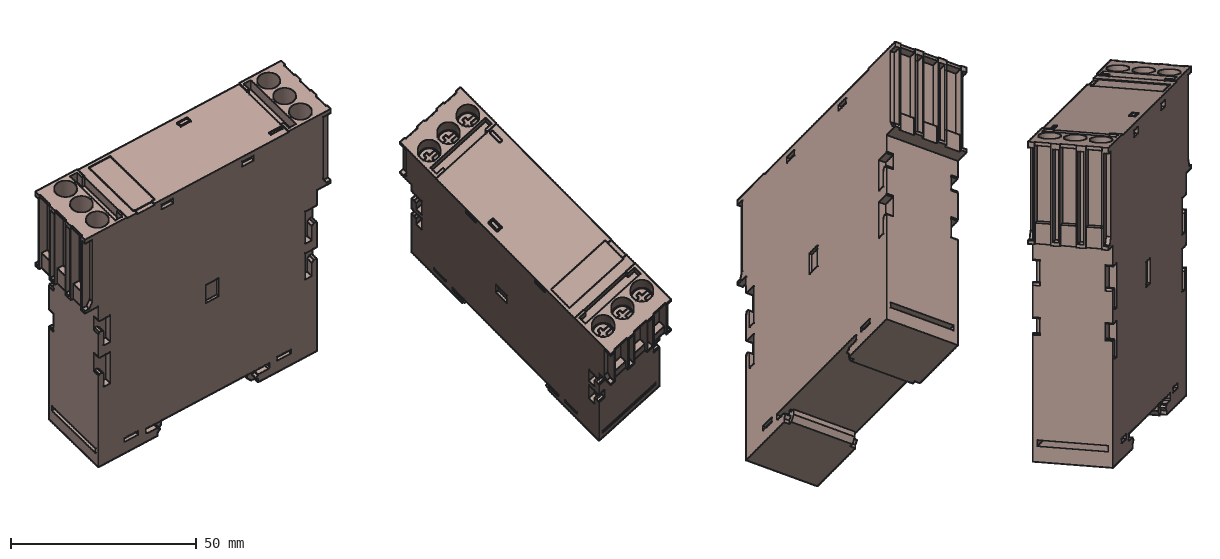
import cadquery as cq
import math

WIDTH = 22.5
LENGTH = 82.45
HEIGHT = 91.0
HALF_WIDTH = WIDTH / 2
HALF_LENGTH = LENGTH / 2
ENDS = (1, -1)
SIDES = (1, -1)

BODY_HALF_LENGTH = 36.7
TERMINAL_BOTTOM = 62.3
COVER_HALF_LENGTH = 27.1
COVER_DROP = 0.4
COVER_TOP = HEIGHT - COVER_DROP

PITCH = 7.2
POLES = (-PITCH, 0, PITCH)

CHANNEL_WIDTH = 4.55
CHANNEL_TOP = 90.0
CHANNEL_BACK = 38.5
RIM_SETBACK = 0.4
PLUG_TOP = 68.2
PLUG_FACE = 40.4

GROOVE_TOP = 89.4
GROOVE_BOTTOM = 63.3
GROOVE_BACK = 38.7
LIP = 0.4
RIB_GROOVE_INNER = CHANNEL_WIDTH / 2 + LIP
RIB_GROOVE_OUTER = 4.4
CORNER_GROOVE_WIDTH = 1.3
CORNER_BEVEL_RUN = 1.1
CORNER_BEVEL_RISE = 2.1

SCREW_Y = 34.0
SCREW_HOLE_DIAMETER = 6.2
SCREW_HOLE_DEPTH = 7.3
SCREW_DIAMETER = 5.6
DOME_HEIGHT = 0.9
CROSS_SLOT_WIDTH = 1.1
CROSS_SLOT_LENGTH = 3.2
CROSS_SLOT_DEPTH = 0.8

TOOL_SLOT_WIDTH = 20.5
TOOL_SLOT_OUTER = 30.3
TOOL_SLOT_INNER = 27.9
TOOL_SLOT_NECK_WIDTH = 15.65
TOOL_SLOT_DEPTH = 3.6

LABEL_X = (-10.2, 9.9)
LABEL_Y = (-24.0, -16.8)
LABEL_DEPTH = 0.3
LABEL_GRIP_Y = (-23.7, -17.8)
LABEL_GRIP_DEPTH = 0.55
MARK_X = (8.2, 9.2)
MARK_Y = (22.7, 26.6)
MARK_DEPTH = 0.5
LAMP_X = -8.6
LAMP_Y = 6.7
LAMP_WIDTH = 1.8
LAMP_LENGTH = 3.55
LAMP_GAP = 0.4
LAMP_GAP_DEPTH = 0.5

POCKET_DEPTH = 1.1
COVER_POCKET_Y = (11.6, 15.5)
COVER_POCKET_Z = (86.9, 88.7)
FOOT_POCKET_Y = (23.3, 27.9)
FOOT_POCKET_Z = (4.5, 5.8)
CENTRE_POCKET_Y = (-0.6, 3.6)
CENTRE_POCKET_Z = (41.5, 48.5)
CENTRE_POCKET_DEPTH = 0.8

CLIP_NOTCHES = (
    (1, 56.4, 50.2, 43.95, 0.7),
    (1, 40.2, 35.9, 30.1, 0.4),
    (-1, 56.4, 52.2, 46.1, 0.7),
    (-1, 42.2, 35.9, 30.1, 0.4),
)
CLIP_DEPTH = 2.1
CLIP_INNER = 32.7
CLIP_TAB_INNER = 34.85
CLIP_TAB_CHAMFER = 0.7
CLIP_MOUTH_DEPTH = 0.3
CLIP_MOUTH_RISE = 0.4

RAIL_HALF_LENGTH = 20.75
RAIL_ROOF = 5.1
LATCH_TOP = 4.5
SKIN = 1.6
SKIN_TOP = 3.1
SKIN_BEVEL = 0.5
SKIN_TIP = 16.8
SKIN_NOSE = 15.9
SKIN_NOSE_TOP = 2.7
SKIN_NOSE_MIDDLE = 2.2
SKIN_NOSE_BOTTOM = 1.2
LATCH_TIP = 14.4
LATCH_TIP_TOP = 3.4
LATCH_TIP_BOTTOM = 1.6
LATCH_SHOULDER = 16.1
LATCH_SHOULDER_BOTTOM = 3.7
LATCH_UNDERSIDE = 15.7
LATCH_RIB_INNER = 18.2
LATCH_RIB_OUTER = 19.0
LATCH_HOLLOW_DEPTH = 0.9
LATCH_COVE_MIDDLE_DEPTH = 0.7

LATCH_SLOT_WIDTH = 19.8
LATCH_SLOT_TOP = 6.2


def block(x_range, y_range, z_range):
    """Box between opposite corners, given in any order."""
    spans = [sorted(r) for r in (x_range, y_range, z_range)]
    sizes = [high - low for low, high in spans]
    corner = tuple(low for low, _ in spans)
    return cq.Workplane("XY").box(*sizes, centered=False).translate(corner)


def centred(size):
    return (-size / 2, size / 2)


def at_end(end, y_range):
    return tuple(end * y for y in y_range)


def side_prism(points, x_start, x_end):
    """Outline of (y, z) points swept along X from x_start to x_end."""
    profile = cq.Workplane("YZ", origin=(x_start, 0, 0)).polyline(points).close()
    return profile.extrude(x_end - x_start)


def housing():
    body = block(centred(WIDTH), centred(2 * BODY_HALF_LENGTH), (0, COVER_TOP))
    for end in ENDS:
        y_range = at_end(end, (COVER_HALF_LENGTH, HALF_LENGTH))
        body = body.union(block(centred(WIDTH), y_range, (TERMINAL_BOTTOM, HEIGHT)))
    return body


def cut_terminal_face(body, end):
    """Wire channels, their bottom plugs and the narrow grooves of one end."""
    for x in POLES:
        x_range = (x - CHANNEL_WIDTH / 2, x + CHANNEL_WIDTH / 2)
        rim = at_end(end, (HALF_LENGTH - RIM_SETBACK, HALF_LENGTH))
        channel = at_end(end, (CHANNEL_BACK, HALF_LENGTH))
        plug = at_end(end, (PLUG_FACE, HALF_LENGTH))
        body = body.cut(block(x_range, rim, (CHANNEL_TOP, HEIGHT)))
        body = body.cut(block(x_range, channel, (PLUG_TOP, CHANNEL_TOP)))
        body = body.cut(block(x_range, plug, (TERMINAL_BOTTOM, PLUG_TOP)))

    bevel_y = GROOVE_BACK + CORNER_BEVEL_RUN
    corner = [
        (end * HALF_LENGTH, GROOVE_TOP),
        (end * GROOVE_BACK, GROOVE_TOP),
        (end * GROOVE_BACK, GROOVE_BOTTOM + CORNER_BEVEL_RISE),
        (end * bevel_y, GROOVE_BOTTOM),
        (end * HALF_LENGTH, GROOVE_BOTTOM),
    ]
    for side in SIDES:
        rib_x = (side * RIB_GROOVE_INNER, side * RIB_GROOVE_OUTER)
        rib_y = at_end(end, (GROOVE_BACK, HALF_LENGTH))
        body = body.cut(block(rib_x, rib_y, (GROOVE_BOTTOM, GROOVE_TOP)))
        corner_x = side * (HALF_WIDTH - CORNER_GROOVE_WIDTH)
        body = body.cut(side_prism(corner, corner_x, side * HALF_WIDTH))
    return body


def screw_head():
    """Domed head with a cross recess, its rim at z = 0."""
    radius = SCREW_DIAMETER / 2
    profile = cq.Workplane("XZ").moveTo(0, 0).lineTo(radius, 0)
    sphere = (radius**2 + DOME_HEIGHT**2) / (2 * DOME_HEIGHT)
    mid_angle = math.asin(radius / sphere) / 2
    middle = (sphere * math.sin(mid_angle), DOME_HEIGHT - sphere * (1 - math.cos(mid_angle)))
    head = profile.threePointArc(middle, (0, DOME_HEIGHT)).close().revolve()
    recess_z = (DOME_HEIGHT - CROSS_SLOT_DEPTH, DOME_HEIGHT)
    head = head.cut(block(centred(SCREW_DIAMETER), centred(CROSS_SLOT_WIDTH), recess_z))
    return head.cut(block(centred(CROSS_SLOT_WIDTH), centred(CROSS_SLOT_LENGTH), recess_z))


def add_screws(body):
    places = [(x, end * SCREW_Y) for x in POLES for end in ENDS]
    floor = HEIGHT - SCREW_HOLE_DEPTH
    holes = cq.Workplane("XY", origin=(0, 0, floor)).pushPoints(places)
    body = body.cut(holes.circle(SCREW_HOLE_DIAMETER / 2).extrude(SCREW_HOLE_DEPTH))
    head = screw_head()
    for x, y in places:
        body = body.union(head.translate((x, y, floor)))
    return body


def cut_tool_slot(body, end):
    z_range = (HEIGHT - TOOL_SLOT_DEPTH, HEIGHT)
    wide = at_end(end, (TOOL_SLOT_INNER, TOOL_SLOT_OUTER))
    neck = at_end(end, (COVER_HALF_LENGTH, TOOL_SLOT_INNER))
    body = body.cut(block(centred(TOOL_SLOT_WIDTH), wide, z_range))
    return body.cut(block(centred(TOOL_SLOT_NECK_WIDTH), neck, z_range))


def cut_cover_details(body):
    """Label recess with its grip, marking slot and status lamp."""
    body = body.cut(block(LABEL_X, LABEL_Y, (COVER_TOP - LABEL_DEPTH, COVER_TOP)))
    grip_x = (LABEL_X[1], HALF_WIDTH)
    body = body.cut(block(grip_x, LABEL_GRIP_Y, (COVER_TOP - LABEL_GRIP_DEPTH, COVER_TOP)))
    body = body.cut(block(MARK_X, MARK_Y, (COVER_TOP - MARK_DEPTH, COVER_TOP)))
    lamp_z = (COVER_TOP - LAMP_GAP_DEPTH, COVER_TOP)
    gap = block(centred(LAMP_WIDTH), centred(LAMP_LENGTH), lamp_z)
    lamp_size = (LAMP_WIDTH - 2 * LAMP_GAP, LAMP_LENGTH - 2 * LAMP_GAP)
    lamp = block(centred(lamp_size[0]), centred(lamp_size[1]), lamp_z)
    return body.cut(gap.cut(lamp).translate((LAMP_X, LAMP_Y, 0)))


def cut_side_pockets(body, side):
    x_range = (side * (HALF_WIDTH - POCKET_DEPTH), side * HALF_WIDTH)
    for end in ENDS:
        body = body.cut(block(x_range, at_end(end, COVER_POCKET_Y), COVER_POCKET_Z))
        body = body.cut(block(x_range, at_end(end, FOOT_POCKET_Y), FOOT_POCKET_Z))
    centre_x = (side * (HALF_WIDTH - CENTRE_POCKET_DEPTH), side * HALF_WIDTH)
    return body.cut(block(centre_x, CENTRE_POCKET_Y, CENTRE_POCKET_Z))


def cut_clip_notches(body, side):
    """L-shaped notches, each leaving a bevelled tab at the end face and a flared mouth."""
    x_range = (side * (HALF_WIDTH - CLIP_DEPTH), side * HALF_WIDTH)
    for end, top, tab_top, bottom, mouth_drop in CLIP_NOTCHES:
        notch = block(x_range, at_end(end, (CLIP_INNER, BODY_HALF_LENGTH)), (bottom, top))
        tab = block(x_range, at_end(end, (CLIP_TAB_INNER, BODY_HALF_LENGTH)), (bottom, tab_top))
        inner_face = "<Y" if end > 0 else ">Y"
        tab = tab.faces(inner_face).edges(">Z").chamfer(CLIP_TAB_CHAMFER)
        mouth = [
            (end * BODY_HALF_LENGTH, top + CLIP_MOUTH_RISE),
            (end * (BODY_HALF_LENGTH - CLIP_MOUTH_DEPTH), top),
            (end * (BODY_HALF_LENGTH - CLIP_MOUTH_DEPTH), tab_top),
            (end * BODY_HALF_LENGTH, tab_top - mouth_drop),
        ]
        body = body.cut(notch.cut(tab)).cut(side_prism(mouth, *x_range))
    return body


def cut_rail_recess(body):
    """Rail recess between the two latches, full width."""
    half_outline = [
        (RAIL_HALF_LENGTH, RAIL_ROOF),
        (RAIL_HALF_LENGTH, LATCH_TOP),
        (LATCH_SHOULDER, LATCH_TOP),
        (LATCH_SHOULDER, LATCH_SHOULDER_BOTTOM),
        (LATCH_TIP, LATCH_TIP_TOP),
        (LATCH_TIP, LATCH_TIP_BOTTOM),
        (LATCH_UNDERSIDE, 0),
    ]
    mirrored = [(-y, z) for y, z in reversed(half_outline)]
    return body.cut(side_prism(half_outline + mirrored, -HALF_WIDTH, HALF_WIDTH))


def cut_foot_skin(body, end, side):
    """Trim the outer wall of a foot back from the latch and hollow the latch beside its rib."""
    outline = [
        (RAIL_HALF_LENGTH, LATCH_TOP),
        (RAIL_HALF_LENGTH, SKIN_TOP + SKIN_BEVEL),
        (RAIL_HALF_LENGTH - SKIN_BEVEL, SKIN_TOP),
        (SKIN_TIP, SKIN_TOP),
        (SKIN_TIP, SKIN_NOSE_TOP),
        (SKIN_NOSE, SKIN_NOSE_MIDDLE),
        (SKIN_TIP, SKIN_NOSE_BOTTOM),
        (SKIN_TIP, 0),
        (LATCH_TIP, 0),
        (LATCH_TIP, LATCH_TOP),
    ]
    points = [(end * y, z) for y, z in outline]
    skin_x = HALF_WIDTH - SKIN
    body = body.cut(side_prism(points, side * skin_x, side * HALF_WIDTH))

    hollow_height = LATCH_TOP - SKIN_TOP
    wall = side * skin_x
    floor = side * (skin_x - LATCH_HOLLOW_DEPTH)
    mid_floor = side * (skin_x - LATCH_COVE_MIDDLE_DEPTH)
    mid_y = (LATCH_RIB_OUTER + RAIL_HALF_LENGTH) / 2
    sketch = cq.Workplane("XY", origin=(0, 0, SKIN_TOP))
    ramp_points = [(wall, end * SKIN_TIP), (floor, end * LATCH_RIB_INNER), (wall, end * LATCH_RIB_INNER)]
    ramp = sketch.polyline(ramp_points).close().extrude(hollow_height)
    cove = (
        sketch.moveTo(wall, end * LATCH_RIB_OUTER)
        .lineTo(floor, end * LATCH_RIB_OUTER)
        .threePointArc((mid_floor, end * mid_y), (wall, end * RAIL_HALF_LENGTH))
        .close()
        .extrude(hollow_height)
    )
    return body.cut(ramp).cut(cove)


def cut_latch_slot(body, end):
    y_range = at_end(end, (RAIL_HALF_LENGTH, BODY_HALF_LENGTH))
    return body.cut(block(centred(LATCH_SLOT_WIDTH), y_range, (LATCH_TOP, LATCH_SLOT_TOP)))


result = housing()
for end in ENDS:
    result = cut_terminal_face(result, end)
    result = cut_tool_slot(result, end)
    result = cut_latch_slot(result, end)
result = add_screws(result)
result = cut_cover_details(result)
for side in SIDES:
    result = cut_side_pockets(result, side)
    result = cut_clip_notches(result, side)
result = cut_rail_recess(result)
for end in ENDS:
    for side in SIDES:
        result = cut_foot_skin(result, end, side)